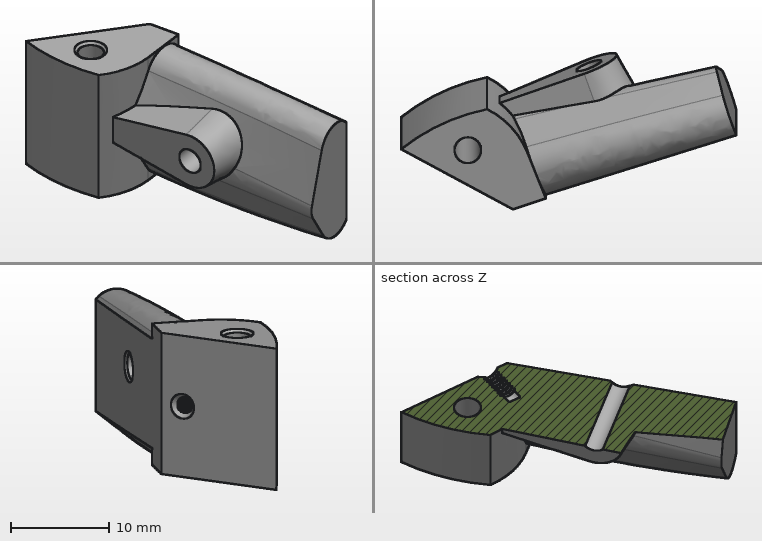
import cadquery as cq
import math

arm_yaw = 2.6

head_height = 15.0
head_tip = (0.0, 0.98)
head_back_left = (8.3, 10.98)
head_right = 11.83
head_back = head_back_left[1] + (head_right - head_back_left[0]) * math.tan(math.radians(arm_yaw))
head_round_start = 5.85
head_round_mid = (11.37, 3.2)
head_front_right = (9.68, 0.3)
head_front_mid = (6.3, 0.0)

bore_diameter = 2.7
head_bore_center = (6.3, 3.55)
head_bore_rim_diameter = 3.32

screw_diameter = 1.63
thread_diameter = 2.02
thread_pitch = 0.5
thread_count = 7
screw_rim_diameter = 2.6
screw_depth = 4.9
screw_y = 9.15

arm_root = -1.3
arm_middle = 10.33
arm_end = 20.5

root_rounds = [(2.65, 11.93, 3.05), (4.7, 7.43, 3.55), (2.77, 3.3, 3.1)]
middle_rounds = [(2.38, 11.25, 2.7), (4.3, 5.8, 2.93), (2.5, 2.0, 2.77)]
end_rounds = [(2.05, 10.1, 2.65), (4.4, 4.45, 2.05), (2.0, 1.75, 2.7)]
back_edge_flat = 0.33

lug_center = (20.3, 8.02)
lug_radius = 3.05
lug_side_angle = 9.1
lug_left = 9.45
lug_front = 1.5
lug_length = 6.2
lug_draft = 8.0
lug_bore_rim_diameter = 3.2


def make_head():
    return (
        cq.Workplane("XY")
        .moveTo(*head_tip)
        .lineTo(*head_back_left)
        .lineTo(head_right, head_back)
        .lineTo(head_right, head_round_start)
        .threePointArc(head_round_mid, head_front_right)
        .threePointArc(head_front_mid, head_tip)
        .close()
        .extrude(head_height)
    )


def round_point(arm_round, angle):
    """Point on a round; the angle is measured from straight forward, up positive."""
    depth, height, radius = arm_round
    return (-depth - radius * math.cos(angle), height + radius * math.sin(angle))


def tangent_angle(upper, lower):
    """Direction square to the front line that touches two rounds."""
    fall = upper[1] - lower[1]
    advance = lower[0] - upper[0]
    lean = math.atan2(advance, fall)
    offset = math.asin((lower[2] - upper[2]) / math.hypot(fall, advance))
    return lean + offset


def arm_section(station, rounds):
    """Closed section wire of a flat back, a narrow top flat, three rounds and two front lines."""
    top, nose, bottom = rounds
    upper_face = tangent_angle(top, nose)
    lower_face = tangent_angle(nose, bottom)
    top_back = math.pi - math.acos(top[0] / top[2])
    top_start = math.pi - math.acos((top[0] - back_edge_flat) / top[2])
    bottom_back = math.acos(bottom[0] / bottom[2]) - math.pi
    return (
        cq.Workplane("YZ", origin=(station, 0, 0))
        .moveTo(*round_point(top, top_back))
        .lineTo(*round_point(top, top_start))
        .threePointArc(round_point(top, (top_start + upper_face) / 2), round_point(top, upper_face))
        .lineTo(*round_point(nose, upper_face))
        .threePointArc(round_point(nose, (upper_face + lower_face) / 2), round_point(nose, lower_face))
        .lineTo(*round_point(bottom, lower_face))
        .threePointArc(
            round_point(bottom, (lower_face + bottom_back) / 2),
            round_point(bottom, bottom_back),
        )
        .close()
        .val()
    )


def make_arm():
    sections = [
        arm_section(arm_root, root_rounds),
        arm_section(arm_middle, middle_rounds),
        arm_section(arm_end, end_rounds),
    ]
    arm = cq.Workplane(cq.Solid.makeLoft(sections))
    return arm.rotate((0, 0, 0), (0, 0, 1), arm_yaw).translate((head_right, head_back, 0))


def make_lug():
    side = math.radians(lug_side_angle)
    center_x, center_z = lug_center
    tangent_x = center_x - lug_radius * math.sin(side)
    tangent_rise = lug_radius * math.cos(side)
    left_rise = tangent_rise - (tangent_x - lug_left) * math.tan(side)
    return (
        cq.Workplane("XZ", origin=(0, lug_front, 0))
        .moveTo(lug_left, center_z - left_rise)
        .lineTo(tangent_x, center_z - tangent_rise)
        .threePointArc((center_x + lug_radius, center_z), (tangent_x, center_z + tangent_rise))
        .lineTo(lug_left, center_z + left_rise)
        .close()
        .extrude(-lug_length, taper=-lug_draft)
    )


def make_cone(rim_diameter, base_diameter, mouth, inward):
    """45 degree countersink cutter that narrows along the inward direction."""
    rim_radius = rim_diameter / 2
    base_radius = base_diameter / 2
    return cq.Solid.makeCone(rim_radius, base_radius, rim_radius - base_radius, mouth, inward)


def make_head_bore():
    mouth = cq.Vector(*head_bore_center, head_height)
    down = cq.Vector(0, 0, -1)
    bore = cq.Solid.makeCylinder(bore_diameter / 2, head_height, mouth, down)
    return bore.fuse(make_cone(head_bore_rim_diameter, bore_diameter, mouth, down))


def make_lug_bore():
    center_x, center_z = lug_center
    yaw = math.radians(arm_yaw)
    back_y = head_back + (center_x - head_right) * math.tan(yaw)
    mouth = cq.Vector(center_x, back_y, center_z)
    bore_start = cq.Vector(center_x, 0, center_z)
    bore = cq.Solid.makeCylinder(bore_diameter / 2, 2 * back_y, bore_start, cq.Vector(0, 1, 0))
    inward = cq.Vector(math.sin(yaw), -math.cos(yaw), 0)
    return bore.fuse(make_cone(lug_bore_rim_diameter, bore_diameter, mouth, inward))


def make_screw_hole():
    """Drilled hole with a countersunk mouth and ring grooves standing for the thread."""
    run = head_back_left[0] - head_tip[0]
    rise = head_back_left[1] - head_tip[1]
    mouth_x = head_tip[0] + (screw_y - head_tip[1]) * run / rise
    mouth = cq.Vector(mouth_x, screw_y, head_height / 2)
    inward = cq.Vector(rise, -run, 0).normalized()
    minor = screw_diameter / 2
    major = thread_diameter / 2
    groove_depth = major - minor

    hole = cq.Solid.makeCylinder(minor, screw_depth, mouth, inward)
    hole = hole.fuse(make_cone(screw_rim_diameter, screw_diameter, mouth, inward))
    first_groove = screw_rim_diameter / 2 - minor
    for index in range(thread_count):
        crest = mouth + inward * (first_groove + index * thread_pitch)
        hole = hole.fuse(
            cq.Solid.makeCone(minor, major, groove_depth, crest, inward),
            cq.Solid.makeCone(major, minor, groove_depth, crest + inward * groove_depth, inward),
        )
    return hole


result = make_head().union(make_arm()).union(make_lug())
for cutter in (make_head_bore(), make_lug_bore(), make_screw_hole()):
    result = result.cut(cq.Workplane(cutter))